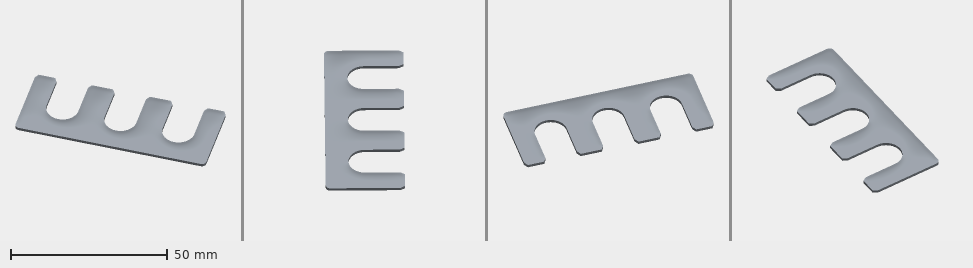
import cadquery as cq
import math

length = 63.5
width = 25.4
thickness = 1.0
corner_radius = 1.5

slot_count = 3
slot_pitch = 19.3
slot_width = 10.5
slot_depth = 18.0

tip_height = 1.5
tip_angle = 30.0
tip_inset = tip_height * math.tan(math.radians(tip_angle))

back_edge = width / 2
tip_start = back_edge - tip_height
side_edge = length / 2


def make_plate():
    """Plate with rounded front corners and tapered back corners."""
    outline = (
        cq.Workplane("XY")
        .moveTo(-side_edge, -back_edge)
        .lineTo(side_edge, -back_edge)
        .lineTo(side_edge, tip_start)
        .lineTo(side_edge - tip_inset, back_edge)
        .lineTo(-side_edge + tip_inset, back_edge)
        .lineTo(-side_edge, tip_start)
        .close()
    )
    plate = outline.extrude(thickness)
    return plate.edges("|Z and <Y").fillet(corner_radius)


def make_slot(center_x):
    """Cutter for one slot: flared mouth, straight sides, round bottom."""
    radius = slot_width / 2
    bottom = back_edge - slot_depth
    arc_start = bottom + radius
    left = center_x - radius
    right = center_x + radius
    return (
        cq.Workplane("XY")
        .moveTo(left - tip_inset, back_edge)
        .lineTo(left, tip_start)
        .lineTo(left, arc_start)
        .threePointArc((center_x, bottom), (right, arc_start))
        .lineTo(right, tip_start)
        .lineTo(right + tip_inset, back_edge)
        .close()
        .extrude(thickness)
    )


result = make_plate()
for index in range(slot_count):
    slot_x = (index - (slot_count - 1) / 2) * slot_pitch
    result = result.cut(make_slot(slot_x))